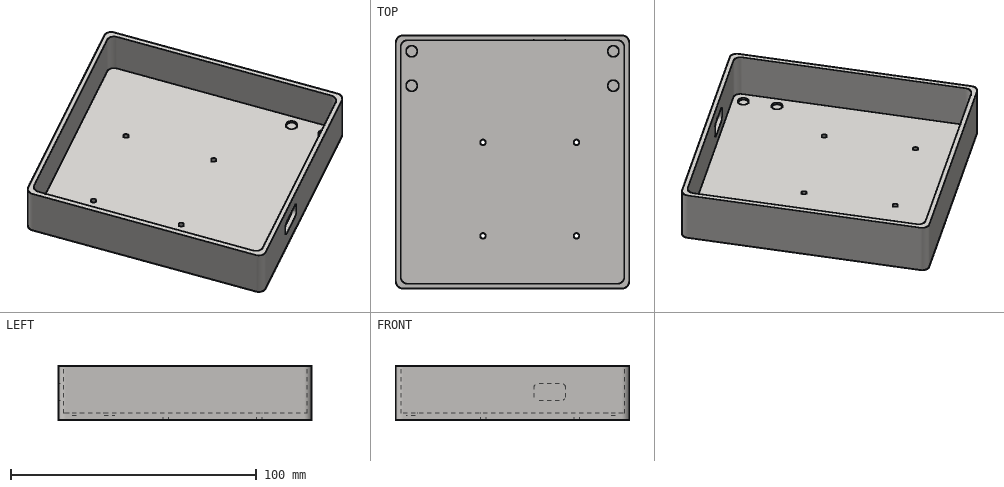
import cadquery as cq

length_y = 103.0
width_x = 95.0
height = 22.0
wall = 2.0
floor = 3.0
outer_corner_radius = 3.0
inner_corner_radius = 3.0

pocket_diameter = 4.5
pocket_depth = 1.0
pocket_inset = 6.5
pocket_pitch = 14.0

hole_diameter = 2.2
hole_pitch = 38.0
hole_pattern_x = 7.0
hole_pattern_y = -11.0

window_width = 13.0
window_height = 7.0
window_corner_radius = 2.0
window_x = 15.0
window_z = 11.5


def rounded_block(size_x, size_y, size_z, radius):
    """Block standing on Z = 0 with rounded vertical edges."""
    return cq.Workplane("XY").box(size_x, size_y, size_z, centered=(True, True, False)).edges("|Z").fillet(radius)


def tray():
    outer = rounded_block(width_x, length_y, height, outer_corner_radius)
    cavity = rounded_block(width_x - 2 * wall, length_y - 2 * wall, height - floor, inner_corner_radius)
    return outer.cut(cavity.translate((0, 0, floor)))


def floor_pockets():
    pocket_x = width_x / 2 - pocket_inset
    back_y = length_y / 2 - pocket_inset
    centers = [(side * pocket_x, y) for side in (-1, 1) for y in (back_y, back_y - pocket_pitch)]
    plane = cq.Workplane("XY").workplane(offset=floor - pocket_depth)
    return plane.pushPoints(centers).circle(pocket_diameter / 2).extrude(pocket_depth)


def floor_holes():
    return (
        cq.Workplane("XY")
        .center(hole_pattern_x, hole_pattern_y)
        .rect(hole_pitch, hole_pitch, forConstruction=True)
        .vertices()
        .circle(hole_diameter / 2)
        .extrude(floor)
    )


def wall_window():
    window = cq.Workplane("XY").box(window_width, wall, window_height).edges("|Y").fillet(window_corner_radius)
    return window.translate((window_x, (length_y - wall) / 2, window_z))


result = tray().cut(floor_pockets()).cut(floor_holes()).cut(wall_window())